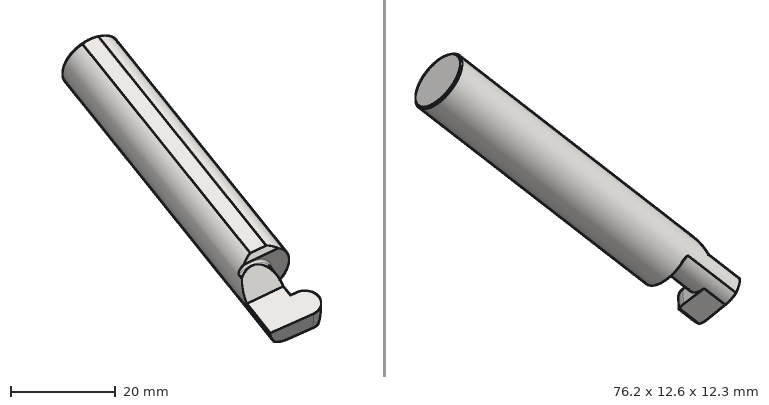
import cadquery as cq
import math

length = 76.2
shank_radius = 6.3
flat_width = 3.6
end_chamfer = 0.3
shoulder_x = 62.3
slope_foot_x = 67.35
neck_radius = 4.4
neck_edge_y = 1.9
neck_center_y = neck_edge_y - neck_radius
root_fillet = 0.45
head_left_x = 69.95
head_tip_y = 6.3
head_depth = neck_radius
end_setback = 0.3
relief_angle = 2.0

head_radius = (length - head_left_x) / 2
head_center_x = length - head_radius
head_center_y = head_tip_y - head_radius
shank_diameter = 2 * shank_radius
flat_height = math.sqrt(shank_radius**2 - (flat_width / 2) ** 2)


def rod(radius, start_x, end_x, center_y=0.0):
    """Cylinder along X."""
    return cq.Workplane("YZ", origin=(start_x, center_y, 0)).circle(radius).extrude(end_x - start_x)


def make_shank():
    """Round shank with a chamfered rear end."""
    return rod(shank_radius, 0, shoulder_x).faces("<X").chamfer(end_chamfer)


def make_neck():
    """Eccentric round neck with a filleted root, kept inside the shank outline."""
    root = (
        cq.Workplane("XY")
        .moveTo(shoulder_x, neck_center_y)
        .lineTo(shoulder_x, neck_edge_y + root_fillet)
        .radiusArc((shoulder_x + root_fillet, neck_edge_y), -root_fillet)
        .lineTo(length, neck_edge_y)
        .lineTo(length, neck_center_y)
        .close()
        .revolve(360, (0, neck_center_y, 0), (1, neck_center_y, 0))
    )
    return root.intersect(rod(shank_radius, shoulder_x, length))


def make_head():
    """Round-nosed cutting head, tapering inward below the cutting face."""
    return (
        cq.Workplane("XY")
        .moveTo(head_left_x, neck_center_y)
        .lineTo(head_left_x, head_center_y)
        .threePointArc((head_center_x, head_tip_y), (length, head_center_y))
        .lineTo(length, neck_center_y)
        .close()
        .extrude(-head_depth, taper=relief_angle)
        .intersect(rod(shank_radius, shoulder_x, length))
    )


def make_top_cut():
    """Everything above the flat, the slope and the cutting face."""
    clear_height = shank_diameter
    return (
        cq.Workplane("XZ")
        .moveTo(0, flat_height)
        .lineTo(slope_foot_x - flat_height, flat_height)
        .lineTo(slope_foot_x, 0)
        .lineTo(length, 0)
        .lineTo(length, clear_height)
        .lineTo(0, clear_height)
        .close()
        .extrude(shank_radius, both=True)
    )


def make_end_cut():
    """Wedge that slants the end face back, with clearance below the cutting face."""
    clearance = shank_radius * math.tan(math.radians(relief_angle))
    slant = [
        (length, head_center_y),
        (length - end_setback, -shank_radius),
        (length + end_setback, -shank_radius),
        (length + end_setback, head_center_y),
    ]
    lower = [(x - clearance, y) if x <= length else (x, y) for x, y in slant]
    return (
        cq.Workplane("XY")
        .polyline(slant)
        .close()
        .workplane(offset=-shank_radius)
        .polyline(lower)
        .close()
        .loft(ruled=True)
    )


result = make_shank().union(make_neck()).union(make_head()).cut(make_top_cut()).cut(make_end_cut())